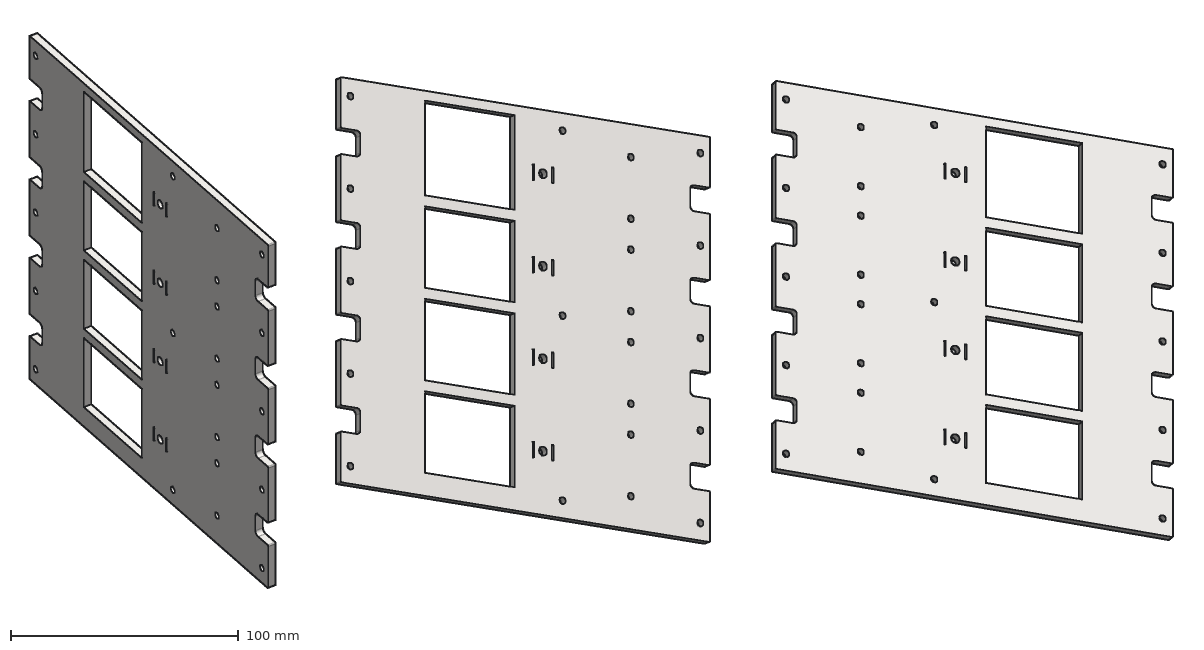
import cadquery as cq
PLATE_WIDTH = 191.45
PLATE_THICKNESS = 4.0
PLATE_HEIGHT = 184.0

STATION_COUNT = 4
STATION_PITCH = 42.0

NOTCH_DEPTH = 10.2
NOTCH_HEIGHT = 11.8
NOTCH_FILLET = 2.0

OUTER_CORNER_FILLET = 0.5

WINDOW_LEFT = -52.0
WINDOW_WIDTH = 46.4
WINDOW_HEIGHT = 37.0
TOP_WINDOW_EXTENSION = 6.0

MOUNT_DIAMETER = 3.05
MOUNT_EDGE_INSET = 5.0
MIDDLE_MOUNT_X = 19.3

PAIR_DIAMETER = 3.0
PAIR_X = 54.7
PAIR_SPACING = 28.0

SWITCH_X = 9.15
SWITCH_DIAMETER = 4.0
SLOT_OFFSET = 5.0
SLOT_WIDTH = 0.9
SLOT_LENGTH = 7.2

STATION_HEIGHTS = [(i - (STATION_COUNT - 1) / 2) * STATION_PITCH for i in range(STATION_COUNT)]
ROW_HEIGHTS = [(i - STATION_COUNT / 2) * STATION_PITCH for i in range(STATION_COUNT + 1)]


def block(left, right, bottom, top):
    """A block through the plate thickness, spanning the given X and Z limits."""
    return (
        cq.Workplane("XY")
        .box(right - left, PLATE_THICKNESS, top - bottom)
        .translate(((left + right) / 2, 0, (bottom + top) / 2))
    )


def round_holes(diameter, centers):
    """Cylinders through the plate thickness at the given (x, z) centers."""
    return (
        cq.Workplane("XZ")
        .pushPoints(centers)
        .circle(diameter / 2)
        .extrude(PLATE_THICKNESS / 2, both=True)
    )


def notches():
    """Notches open to both side edges, with rounded inner corners."""
    edge = PLATE_WIDTH / 2
    half_height = NOTCH_HEIGHT / 2
    floor = edge - NOTCH_DEPTH
    cutters = cq.Workplane("XY")
    for z in STATION_HEIGHTS:
        left = block(-edge, -floor, z - half_height, z + half_height)
        right = block(floor, edge, z - half_height, z + half_height)
        cutters = cutters.add(left.edges("|Y and >X").fillet(NOTCH_FILLET))
        cutters = cutters.add(right.edges("|Y and <X").fillet(NOTCH_FILLET))
    return cutters.combine()


def round_outer_corners(body):
    """Round the plate corners and the notch mouths, all lying on the two side edges."""
    return body.edges("|Y").edges("<X or >X").fillet(OUTER_CORNER_FILLET)


def windows():
    """One rectangular window per station, the top one taller."""
    cutters = cq.Workplane("XY")
    for z in STATION_HEIGHTS:
        top = z + WINDOW_HEIGHT / 2
        if z == max(STATION_HEIGHTS):
            top += TOP_WINDOW_EXTENSION
        bottom = z - WINDOW_HEIGHT / 2
        cutters = cutters.add(block(WINDOW_LEFT, WINDOW_LEFT + WINDOW_WIDTH, bottom, top))
    return cutters.combine()


def mounting_holes():
    """Holes on every row at both side edges, and on every other row at the middle."""
    edge_x = PLATE_WIDTH / 2 - MOUNT_EDGE_INSET
    centers = [(x, z) for z in ROW_HEIGHTS for x in (-edge_x, edge_x)]
    centers += [(MIDDLE_MOUNT_X, z) for z in ROW_HEIGHTS[::2]]
    return round_holes(MOUNT_DIAMETER, centers)


def hole_pairs():
    """Two holes per station, one above the other."""
    half_spacing = PAIR_SPACING / 2
    centers = [(PAIR_X, z + dz) for z in STATION_HEIGHTS for dz in (-half_spacing, half_spacing)]
    return round_holes(PAIR_DIAMETER, centers)


def switch_holes():
    """The round hole of each switch cutout."""
    return round_holes(SWITCH_DIAMETER, [(SWITCH_X, z) for z in STATION_HEIGHTS])


def switch_slots():
    """Upright slots on both sides of each switch hole."""
    centers = [(SWITCH_X + dx, z) for z in STATION_HEIGHTS for dx in (-SLOT_OFFSET, SLOT_OFFSET)]
    return (
        cq.Workplane("XZ")
        .pushPoints(centers)
        .slot2D(SLOT_LENGTH, SLOT_WIDTH, 90)
        .extrude(PLATE_THICKNESS / 2, both=True)
    )


plate = cq.Workplane("XY").box(PLATE_WIDTH, PLATE_THICKNESS, PLATE_HEIGHT)
notched_plate = round_outer_corners(plate.cut(notches()))
result = (
    notched_plate.cut(windows())
    .cut(mounting_holes())
    .cut(hole_pairs())
    .cut(switch_holes())
    .cut(switch_slots())
)